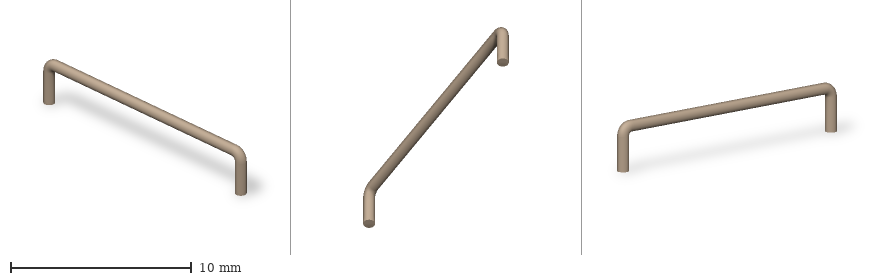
import cadquery as cq

WIRE_DIAMETER = 0.66
LEG_SPACING = 15.0
LEG_LENGTH = 2.0
BEND_RADIUS = 0.5

leg_x = LEG_SPACING / 2
bar_end_x = leg_x - BEND_RADIUS
bar_z = LEG_LENGTH + BEND_RADIUS


def wire_axis():
    """Centre line: up one leg, around a bend, along the bar and down the other leg."""
    return (
        cq.Workplane("XZ")
        .moveTo(-leg_x, 0)
        .lineTo(-leg_x, LEG_LENGTH)
        .tangentArcPoint((-bar_end_x, bar_z), relative=False)
        .lineTo(bar_end_x, bar_z)
        .tangentArcPoint((leg_x, LEG_LENGTH), relative=False)
        .lineTo(leg_x, 0)
    )


def bent_wire():
    """Round wire swept along the centre line."""
    leg_end = cq.Workplane("XY").center(-leg_x, 0).circle(WIRE_DIAMETER / 2)
    return leg_end.sweep(wire_axis())


result = bent_wire()